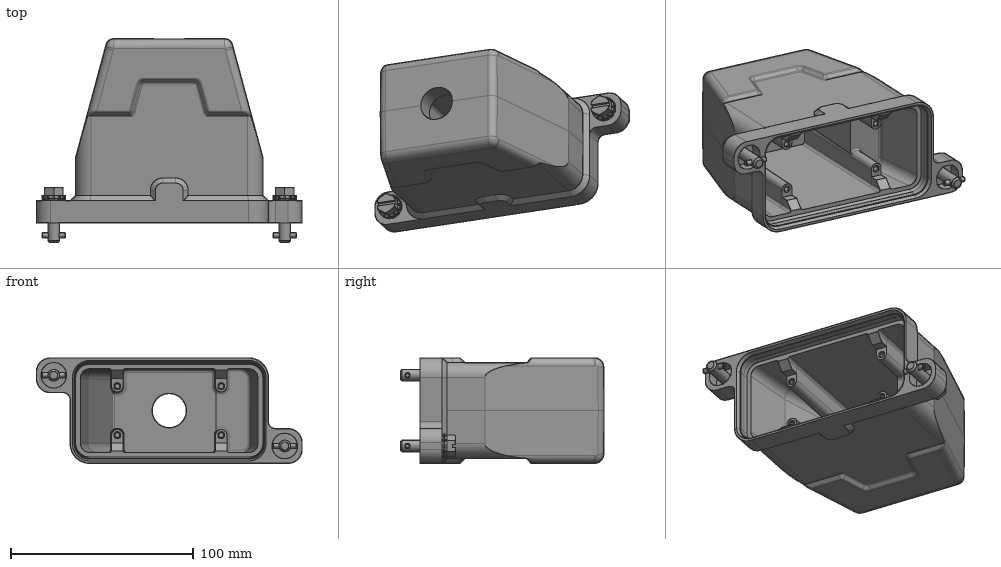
import cadquery as cq
import math


overall_length = 146.0
flange_half_x = 54.5
half_z = 28.98
flange_depth = 12.19
flange_corner_radius = 10.8

lug_height = 19.1
lug_corner_radius = 7.7
lug_root_radius = 4.0
lug_x = (overall_length - lug_height) / 2
lug_z = half_z - lug_height / 2
lug_bore_diameter = 14.0
lug_bore_depth = 7.7

hood_half_x = 51.5
hood_waist_half_z = 26.4
hood_waist_radius = 8.5
waist_line_x = hood_half_x - hood_waist_radius
hood_length = 101.2
shoulder_y = 35.6
side_slope = math.tan(math.radians(15.1))
side_draft = 0.5
hood_edge_radius = 4.4
hood_rear_radius = 5.1
skirt_height = 2.8

step_y = 58.8
step_notch_y = 76.8
step_notch_half_x = 15.0
step_inner_radius = 2.9
step_notch_radius = 1.5
step_wall_angle = 40.0
step_edge_radius = 1.0
step_height = half_z - hood_waist_half_z

tab_half_x = 10.4
tab_end_y = 24.7
tab_corner_radius = 6.9
tab_wall_angle = 47.0

mouth_half_x = 53.1
mouth_half_z = 27.6
mouth_radius = 9.5
lead_in_depth = 2.2
lead_in_inset = 0.95
seal_inset = 1.39
seal_depth = 5.8
ledge_inset = 2.2
ledge_side_inset = 1.8
ledge_y = 8.2

cavity_half_x = 48.8
cavity_half_z = 23.0
cavity_corner_radius = 5.3
cavity_kink_x = 44.7
cavity_kink_y = 38.3
cavity_floor_y = 88.8
cavity_end_half_z = 22.2
floor_fillet = 1.2
shelf_y = 40.3
shelf_x = 25.5
shelf_fillet = 1.0
cable_hole_diameter = 18.7

pillar_x = 28.55
pillar_z = 13.5
pillar_width = 6.3
pillar_draft = 0.5
pillar_face_y = 18.0
pillar_root_radius = 1.5
rib_y = 12.8
rib_inner_z = 17.7
rib_outer_z = 22.2
screw_hole_diameter = 2.8
screw_hole_depth = 8.8
countersink_diameter = 3.8

shank_diameter = 6.4
shank_reach = 10.8
shank_tip_chamfer = 1.0
cross_pin_diameter = 2.9
cross_pin_length = 13.0
cross_pin_chamfer = 0.5
cross_pin_y = -6.9
washer_diameter = 13.0
lower_washer_thickness = 0.9
washer_gap = 0.5
upper_washer_thickness = 1.5
washer_neck_diameter = 10.2
washer_notches = 12
washer_notch_width = 0.9
washer_notch_depth = 1.0
hex_across_flats = 10.2
hex_height = 4.5
hex_chamfer = 0.5
slot_width = 1.9
slot_depth = 1.8


def plane_at(y):
    """XZ workplane at height y; a negative extrusion goes toward +Y."""
    return cq.Workplane("XZ", origin=(0, y, 0))


def cylinder_y(diameter, y_start, y_end, x=0.0, z=0.0):
    return plane_at(y_start).center(x, z).circle(diameter / 2).extrude(y_start - y_end)


def rounded_rectangle(half_x, half_z_size, radius):
    return cq.Sketch().rect(2 * half_x, 2 * half_z_size).vertices().fillet(radius)


def rounded_loft(y_start, size_start, y_end, size_end):
    """Solid between two rounded rectangles, each given as (half_x, half_z, radius)."""
    return (
        plane_at(y_start)
        .placeSketch(
            rounded_rectangle(*size_start),
            rounded_rectangle(*size_end).moved(cq.Location(cq.Vector(0, 0, y_start - y_end))),
        )
        .loft(ruled=True)
    )


def with_mirror(solid):
    """The solid together with its mirror image below Z = 0."""
    return solid.union(solid.mirror("XY"))


def flange():
    lug_inner_z = half_z - lug_height
    half_length = overall_length / 2
    outline = [
        (-flange_half_x, -half_z),
        (half_length, -half_z),
        (half_length, -lug_inner_z),
        (flange_half_x, -lug_inner_z),
        (flange_half_x, half_z),
        (-half_length, half_z),
        (-half_length, lug_inner_z),
        (-flange_half_x, lug_inner_z),
    ]
    body = plane_at(0).polyline(outline).close().extrude(-flange_depth)
    for side in (-1, 1):
        rounded_corners = [
            (flange_half_x, half_z, flange_corner_radius),
            (flange_half_x, -lug_inner_z, lug_root_radius),
            (half_length, -lug_inner_z, lug_corner_radius),
            (half_length, -half_z, lug_corner_radius),
        ]
        for x, z, radius in rounded_corners:
            corner = cq.selectors.NearestToPointSelector((side * x, flange_depth / 2, side * z))
            body = body.edges("|Y").edges(corner).fillet(radius)
    return body


def upper_hood():
    """Upper half of the drafted hood with sloping sides, which parts at Z = 0."""
    end_half_x = hood_half_x - side_slope * (hood_length - shoulder_y)
    root_y = flange_depth / 2
    upper_half = (
        cq.Workplane("XY")
        .polyline([
            (-hood_half_x, root_y),
            (hood_half_x, root_y),
            (hood_half_x, shoulder_y),
            (end_half_x, hood_length),
            (-end_half_x, hood_length),
            (-hood_half_x, shoulder_y),
        ])
        .close()
        .extrude(half_z, taper=side_draft)
    )
    behind_shoulder = cq.selectors.BoxSelector(
        (-hood_half_x, shoulder_y + 1.5, 1.5), (hood_half_x, hood_length + 1.5, half_z + 1.5)
    )
    upper_half = upper_half.edges(behind_shoulder).edges("|X").fillet(hood_rear_radius)
    return upper_half.edges(behind_shoulder).edges("not |X").fillet(hood_edge_radius)


def face_recess():
    """Cutter for the stepped recess of the upper broad face, notched toward the rear."""
    notch_root_half_x = step_notch_half_x + side_slope * (step_notch_y - step_y)
    far_x = 2 * hood_half_x
    floor = cq.Sketch().polygon([
        (-far_x, 0),
        (far_x, 0),
        (far_x, step_y),
        (notch_root_half_x, step_y),
        (step_notch_half_x, step_notch_y),
        (-step_notch_half_x, step_notch_y),
        (-notch_root_half_x, step_y),
        (-far_x, step_y),
        (-far_x, 0),
    ])
    around_notch_root = cq.selectors.BoxSelector(
        (-notch_root_half_x - 1.5, step_y - 1.5, -1.5), (notch_root_half_x + 1.5, step_y + 1.5, 1.5)
    )
    floor = floor.vertices(">Y").fillet(step_notch_radius).reset()
    floor = floor.vertices(around_notch_root).fillet(step_inner_radius).reset()
    return (
        cq.Workplane("XY", origin=(0, 0, hood_waist_half_z))
        .placeSketch(floor)
        .extrude(2 * step_height, taper=-step_wall_angle)
    )


def waist_corners():
    """Cutter that rounds the long corners of the hood below the step."""
    corner_start_z = hood_waist_half_z - hood_waist_radius
    drafted_half_x = hood_half_x - math.tan(math.radians(side_draft)) * corner_start_z
    waist = (
        plane_at(0)
        .placeSketch(rounded_rectangle(drafted_half_x, hood_waist_half_z, hood_waist_radius))
        .extrude(-step_y)
    )
    middle = plane_at(0).rect(3 * hood_half_x, 2 * corner_start_z).extrude(-step_y)
    surround = plane_at(0).rect(3 * hood_half_x, 3 * half_z).extrude(-step_y)
    return surround.cut(waist).cut(middle)


def skirt():
    """Sloping collar between the flange and the hood."""
    return rounded_loft(
        flange_depth,
        (flange_half_x, half_z, flange_corner_radius),
        flange_depth + skirt_height,
        (hood_half_x, hood_waist_half_z, hood_waist_radius),
    )


def tab():
    """Raised tab on the upper broad face, with sloping walls."""
    root_y = flange_depth / 2
    outline = cq.Sketch().push([(0, (root_y + tab_end_y) / 2)]).rect(2 * tab_half_x, tab_end_y - root_y)
    outline = outline.reset().vertices(">Y").fillet(tab_corner_radius)
    return (
        cq.Workplane("XY", origin=(0, 0, hood_waist_half_z))
        .placeSketch(outline)
        .extrude(step_height, taper=tab_wall_angle)
    )


def outer_hood():
    upper_half = upper_hood().cut(face_recess())
    step_edges = cq.selectors.BoxSelector(
        (-waist_line_x, step_y - 1.5, hood_waist_half_z - 1.5),
        (waist_line_x, step_notch_y + 2 * step_height, half_z + 1.5),
    )
    upper_half = upper_half.edges(step_edges).fillet(step_edge_radius)
    upper_half = upper_half.cut(waist_corners()).union(tab())
    return with_mirror(upper_half).union(skirt())


def mouth():
    """Recess for the mating half: lead-in, seal wall, and chamfer down to the ledge."""
    def section(inset, side_inset):
        return (mouth_half_x - side_inset, mouth_half_z - inset, mouth_radius - inset)

    rim = section(0, 0)
    lead_in_end = section(lead_in_inset, lead_in_inset)
    seal = section(seal_inset, seal_inset)
    ledge = section(ledge_inset, ledge_side_inset)
    lead_in = rounded_loft(0, rim, lead_in_depth, lead_in_end)
    seal_wall = rounded_loft(lead_in_depth, seal, seal_depth, seal)
    return lead_in.union(seal_wall).union(rounded_loft(seal_depth, seal, ledge_y, ledge))


def cavity_x_at(y):
    """Half width of the cavity between its sloping walls."""
    return cavity_kink_x - side_slope * (y - cavity_kink_y)


def cavity_envelope():
    """Room behind the ledge: deep on the -X side, stopping at a shelf on the +X side."""
    plan = [
        (-cavity_half_x, ledge_y),
        (cavity_half_x, ledge_y),
        (cavity_kink_x, cavity_kink_y),
        (cavity_x_at(shelf_y), shelf_y),
        (shelf_x, shelf_y),
        (shelf_x, cavity_floor_y),
        (-cavity_x_at(cavity_floor_y), cavity_floor_y),
        (-cavity_kink_x, cavity_kink_y),
    ]
    side = [
        (ledge_y, -cavity_half_z),
        (ledge_y, cavity_half_z),
        (cavity_floor_y, cavity_end_half_z),
        (cavity_floor_y, -cavity_half_z),
    ]
    room = cq.Workplane("XY").polyline(plan).close().extrude(half_z, both=True)
    return room.intersect(cq.Workplane("YZ").polyline(side).close().extrude(hood_half_x, both=True))


def pillar(x):
    """Screw pillar near the upper wall, with the rib that joins it to that wall."""
    half_width = pillar_width / 2
    outline = (
        cq.Sketch()
        .push([(x, (pillar_z + half_z) / 2)])
        .rect(pillar_width, half_z - pillar_z)
        .reset()
        .push([(x, pillar_z)])
        .circle(half_width)
        .reset()
        .clean()
    )
    column = (
        plane_at(pillar_face_y)
        .placeSketch(outline)
        .extrude(pillar_face_y - cavity_floor_y, taper=-pillar_draft)
    )
    rib = (
        cq.Workplane("YZ", origin=(x - half_width, 0, 0))
        .polyline([
            (ledge_y, half_z),
            (ledge_y, rib_outer_z),
            (rib_y, rib_inner_z),
            (pillar_face_y + 1.5, rib_inner_z),
            (pillar_face_y + 1.5, half_z),
        ])
        .close()
        .extrude(pillar_width)
    )
    return column.union(rib)


def pillared_wall(end_half_z, floor_cove):
    """Upper broad wall and floor slab with two pillars, blended together.

    The wall leans from cavity_half_z at the ledge to end_half_z at the floor."""
    slab_y = cavity_floor_y + 2.9
    section = [
        (ledge_y, half_z),
        (ledge_y, cavity_half_z),
        (cavity_floor_y, end_half_z),
        (cavity_floor_y, 0),
        (slab_y, 0),
        (slab_y, half_z),
    ]
    wall = cq.Workplane("YZ").polyline(section).close().extrude(hood_half_x, both=True)
    for side in (-1, 1):
        wall = wall.union(pillar(side * pillar_x))
    for side in (-1, 1):
        for flank in (-1, 1):
            x = side * pillar_x + flank * pillar_width / 2
            root = cq.selectors.BoxSelector(
                (x - 0.9, ledge_y + 1.5, end_half_z - 0.3), (x + 0.9, cavity_floor_y - 1.5, cavity_half_z + 0.3)
            )
            wall = wall.edges(root).fillet(pillar_root_radius)
    if floor_cove:
        floor_edge = cq.selectors.BoxSelector(
            (-1.5, cavity_floor_y - 0.1, end_half_z - 1.5), (1.5, cavity_floor_y + 0.1, end_half_z + 1.5)
        )
        wall = wall.edges(floor_edge).fillet(floor_fillet)
    return wall


def sloping_wall():
    """Sloping wall and floor slab on the -X side, with a rounded corner between them."""
    floor_x = cavity_x_at(cavity_floor_y)
    slab_y = cavity_floor_y + 2.9
    wall = (
        cq.Workplane("XY")
        .polyline([
            (-cavity_kink_x, cavity_kink_y),
            (-floor_x, cavity_floor_y),
            (0, cavity_floor_y),
            (0, slab_y),
            (-hood_half_x, slab_y),
            (-hood_half_x, cavity_kink_y),
        ])
        .close()
        .extrude(half_z, both=True)
    )
    corner = cq.selectors.NearestToPointSelector((-floor_x, cavity_floor_y, 0))
    return wall.edges("|Z").edges(corner).fillet(floor_fillet)


def cavity():
    room = cavity_envelope()
    deep_corners = cq.selectors.BoxSelector(
        (-hood_half_x, ledge_y + 1.5, -half_z), (-pillar_x - 1.5, cavity_floor_y - 1.5, half_z)
    )
    near_corners = cq.selectors.BoxSelector(
        (pillar_x + 1.5, ledge_y + 1.5, -half_z), (hood_half_x, shelf_y - 0.1, half_z)
    )
    for corners in (deep_corners, near_corners):
        room = room.edges("not |Z").edges(corners).fillet(cavity_corner_radius)
    room = room.cut(sloping_wall())
    room = room.cut(pillared_wall(cavity_end_half_z, floor_cove=True))
    room = room.cut(pillared_wall(cavity_half_z, floor_cove=False).mirror("XY"))
    shelf_edges = cq.selectors.BoxSelector(
        (pillar_x, shelf_y - 0.1, -half_z), (hood_half_x, shelf_y + 0.1, half_z)
    )
    return room.edges(shelf_edges).fillet(shelf_fillet)


def screw_holes():
    centres = [(x * pillar_x, z * pillar_z) for x in (-1, 1) for z in (-1, 1)]
    sink_depth = (countersink_diameter - screw_hole_diameter) / 2
    holes = plane_at(pillar_face_y).pushPoints(centres).circle(screw_hole_diameter / 2).extrude(-screw_hole_depth)
    for x, z in centres:
        sink = cq.Solid.makeCone(
            countersink_diameter / 2,
            screw_hole_diameter / 2,
            sink_depth,
            pnt=cq.Vector(x, pillar_face_y, z),
            dir=cq.Vector(0, 1, 0),
        )
        holes = holes.union(cq.Workplane(sink))
    return holes


def housing():
    body = flange().union(outer_hood())
    body = body.cut(mouth()).cut(cavity()).cut(screw_holes())
    body = body.cut(cylinder_y(cable_hole_diameter, ledge_y, hood_length + 1.5))
    for side in (-1, 1):
        x, z = side * lug_x, -side * lug_z
        body = body.cut(cylinder_y(lug_bore_diameter, 0, lug_bore_depth, x, z))
        body = body.cut(cylinder_y(shank_diameter, 0, flange_depth, x, z))
    return body


def toothed_washer(y_start, thickness):
    washer = cylinder_y(washer_diameter, y_start, y_start + thickness)
    notches = (
        plane_at(y_start)
        .polarArray(washer_diameter / 2, 0, 360, washer_notches)
        .rect(2 * washer_notch_depth, washer_notch_width)
        .extrude(-thickness)
    )
    return washer.cut(notches)


def locking_pin(x, z):
    """Slotted hex-head pin with two toothed washers and a cross pin."""
    upper_washer_y = flange_depth + lower_washer_thickness + washer_gap
    head_y = upper_washer_y + upper_washer_thickness
    head_top_y = head_y + hex_height
    shank = cylinder_y(shank_diameter, -shank_reach, head_y).faces("<Y").chamfer(shank_tip_chamfer)
    cross_pin = (
        cq.Workplane("YZ", origin=(0, cross_pin_y, 0))
        .circle(cross_pin_diameter / 2)
        .extrude(cross_pin_length / 2, both=True)
        .faces("<X or >X")
        .chamfer(cross_pin_chamfer)
    )
    neck = cylinder_y(washer_neck_diameter, flange_depth, head_y)
    hex_corner_diameter = hex_across_flats / math.cos(math.radians(30))
    head = (
        plane_at(head_y)
        .transformed(rotate=(0, 0, 90))
        .polygon(6, hex_corner_diameter)
        .extrude(-hex_height)
    )
    crown = cylinder_y(hex_corner_diameter, head_y, head_top_y).faces(">Y").chamfer(hex_chamfer)
    slot = (
        plane_at(head_top_y)
        .rect(2 * hex_across_flats, slot_width)
        .extrude(slot_depth)
    )
    head = head.intersect(crown).cut(slot)
    return (
        shank.union(cross_pin)
        .union(neck)
        .union(toothed_washer(flange_depth, lower_washer_thickness))
        .union(toothed_washer(upper_washer_y, upper_washer_thickness))
        .union(head)
        .translate((x, 0, z))
    )


hood = housing()
pins = [locking_pin(side * lug_x, -side * lug_z) for side in (-1, 1)]

result = cq.Compound.makeCompound([hood.val(), *[pin.val() for pin in pins]])